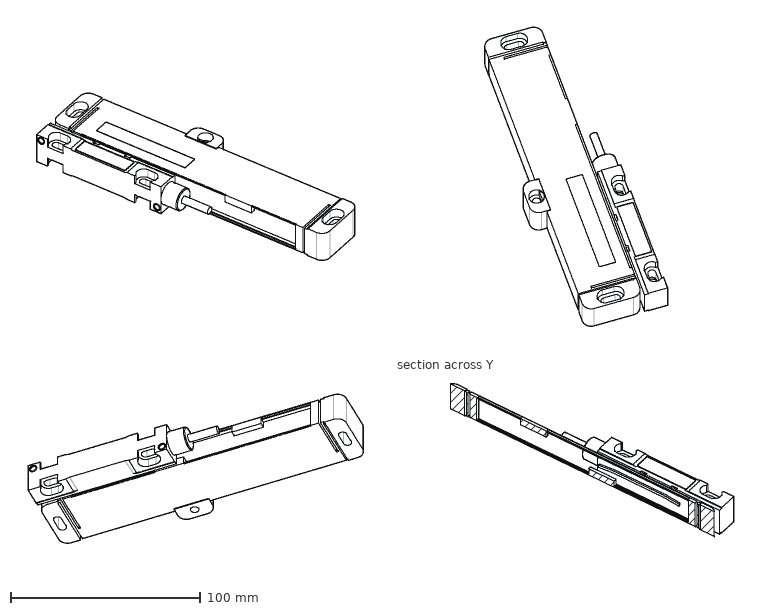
import cadquery as cq
import math

length = 175.0
height = 18.0
relief = 0.5
low_height = height - 2 * relief
low_top = low_height / 2
label_width = 9.1
label_corner = 0.5
screw_slot_diameter = 4.4
screw_head_diameter = 8.2
screw_head_depth = 5.2
head_depth = 13.0
gap = 1.0

housing_front = head_depth + gap
housing_depth = 32.0
housing_back = housing_front + housing_depth
housing_middle_y = housing_front + housing_depth / 2
end_block_length = 11.0
end_corner_radius = 5.0
flexure_slot_width = 1.0
front_web = 1.5
inner_slot_x = 13.3
inner_slot_end = housing_back - 7.9
end_screw_x = 5.5
end_slot_travel = 6.3
channel_end_margin = 18.5
channel_depth = 3.2
channel_lip = 1.0
rebate_lip = 0.5
rebate_depth = 1.0
channel_block_length = 16.8
channel_block_drop = 4.7
upper_block_x = 119.7
tab_x = 75.0
lower_block_x = tab_x
tab_length = 20.1
tab_reach = 8.0
tab_overlap = 2.1
tab_corner_radius = 5.0
tab_hole_setback = 5.6
housing_label_thickness = 0.2
housing_label_x = 23.8
housing_label_length = 56.9
housing_label_y = housing_back - 20.3

head_length = 79.8
head_middle_x = head_length / 2
rear_strip_depth = 2.1
valley_length = 32.0
ramp_length = 2.1
ramp_radius = (ramp_length**2 + relief**2) / (2 * relief)
head_screw_spacing = 56.0
head_screw_y = 4.2
head_slot_travel = 4.2
screw_opening_width = 10.0
head_label_thickness = 0.44
head_label_y = 5.6
notch_positions = (30.0, 50.0)
notch_radius = 2.1
notch_rise = 1.0
notch_depth = 1.0
cable_y = 6.5
cable_z = 0.7
gland_diameter = 13.0
gland_length = 10.2
gland_chamfer = 0.5
cable_diameter = 4.2
cable_length = 16.6
dimple_diameter = 4.2
dimple_cone_diameter = 3.2
dimple_step = 0.4
dimple_cone_depth = 1.5
dimple_inset = 2.8
dimple_z = 6.0
spring_start = 25.7
spring_end = 78.4
spring_wing = 10.2
spring_top = 1.2
spring_thickness = 1.5
spring_drop = 1.0


def box(x0, x1, y0, y1, z0, z1):
    """Box spanning the given limits."""
    return cq.Workplane("XY").box(x1 - x0, y1 - y0, z1 - z0, centered=False).translate((x0, y0, z0))


def mirrored_in_x(shape):
    """Copy of a housing feature on the opposite end."""
    return shape.mirror("YZ", (length / 2, 0, 0))


def obround(x, y, travel, diameter, angle, bottom, top):
    """Vertical slot-shaped cutter."""
    sketch = cq.Workplane("XY", origin=(x, y, bottom)).slot2D(travel + diameter, diameter, angle)
    return sketch.extrude(top - bottom)


def label(x0, x1, y_middle, thickness):
    """Thin plate with rounded corners on a lowered top face."""
    plate = box(x0, x1, y_middle - label_width / 2, y_middle + label_width / 2,
                low_top, low_top + thickness)
    return plate.edges("|Z").fillet(label_corner)


def end_block():
    """Full-height left end block with rounded outer corners."""
    block = box(0, end_block_length, housing_front, housing_back, -height / 2, height / 2)
    return block.edges("|Z and <X").fillet(end_corner_radius)


def end_cuts():
    """Flexure slots and counterbored slot at the left end."""
    half = flexure_slot_width / 2
    outer = box(end_block_length - half, end_block_length + half,
                housing_front + front_web, housing_back, -height / 2, height / 2)
    inner = box(inner_slot_x - half, inner_slot_x + half,
                housing_front, inner_slot_end, -height / 2, height / 2)
    slot = obround(end_screw_x, housing_middle_y, end_slot_travel, screw_slot_diameter, 90,
                   -height / 2, height / 2)
    recess = obround(end_screw_x, housing_middle_y, end_slot_travel, screw_head_diameter, 90,
                     height / 2 - screw_head_depth, height / 2)
    return outer.union(inner).union(slot).union(recess)


def mounting_tab():
    """Full-height lug behind the housing, seated slightly into it."""
    tab = box(tab_x - tab_length / 2, tab_x + tab_length / 2,
              housing_back - tab_overlap, housing_back + tab_reach, -height / 2, height / 2)
    tab = tab.edges("|Z and >Y").fillet(tab_corner_radius)
    top = tab.faces(">Z").workplane(origin=(tab_x, housing_back + tab_reach - tab_hole_setback, 0))
    return top.cboreHole(screw_slot_diameter, screw_head_diameter, screw_head_depth)


def channel():
    """Long front channel with a wider mouth, less the two blocks left standing at its edges."""
    edge = low_top - channel_lip
    mouth_edge = low_top - rebate_lip
    right_end = length - channel_end_margin
    back = housing_front + channel_depth
    mouth_back = housing_front + rebate_depth
    cut = box(channel_end_margin, right_end, housing_front, back, -edge, edge)
    cut = cut.union(box(channel_end_margin, right_end, housing_front, mouth_back, -mouth_edge, mouth_edge))
    half = channel_block_length / 2
    upper = box(upper_block_x - half, upper_block_x + half, housing_front, back,
                low_top - channel_block_drop, low_top)
    lower = box(lower_block_x - half, lower_block_x + half, housing_front, back,
                -low_top, channel_block_drop - low_top)
    return cut.cut(upper).cut(lower)


def make_housing():
    middle = box(end_block_length, length - end_block_length, housing_front, housing_back,
                 -low_top, low_top)
    body = middle.union(end_block()).union(mirrored_in_x(end_block()))
    body = body.cut(end_cuts()).cut(mirrored_in_x(end_cuts()))
    body = body.cut(channel()).union(mounting_tab())
    label_end = housing_label_x + housing_label_length
    return body.union(label(housing_label_x, label_end, housing_label_y, housing_label_thickness))


def head_valley():
    """Cutter for the low middle of the head top, with concave ramps at both ends."""
    inner = valley_length / 2
    outer = inner + ramp_length
    half_angle = math.asin(ramp_length / ramp_radius) / 2
    mid_run = ramp_radius * math.sin(half_angle)
    mid_z = low_top + ramp_radius * (1 - math.cos(half_angle))
    profile = (
        cq.Workplane("XZ", origin=(head_middle_x, 0, 0))
        .moveTo(-inner, low_top)
        .lineTo(inner, low_top)
        .threePointArc((inner + mid_run, mid_z), (outer, height / 2))
        .lineTo(-outer, height / 2)
        .threePointArc((-inner - mid_run, mid_z), (-inner, low_top))
        .close()
    )
    return profile.extrude(-head_depth)


def head_screw_cuts(x):
    """Through slot with an open-fronted screw recess in the top and bottom."""
    cut = obround(x, head_screw_y, head_slot_travel, screw_slot_diameter, 0, -height / 2, height / 2)
    half = screw_opening_width / 2
    for bottom in (-height / 2, height / 2 - screw_head_depth):
        top = bottom + screw_head_depth
        cut = cut.union(obround(x, head_screw_y, head_slot_travel, screw_head_diameter, 0, bottom, top))
        cut = cut.union(box(x - half, x + half, 0, head_screw_y / 2, bottom, top))
    return cut


def dimple(x, z):
    """Stepped conical dimple in the front face."""
    profile = (
        cq.Workplane("XY")
        .polyline([(0, 0), (dimple_diameter / 2, 0), (dimple_diameter / 2, dimple_step),
                   (dimple_cone_diameter / 2, dimple_step), (0, dimple_step + dimple_cone_depth)])
        .close()
    )
    return profile.revolve(360, (0, 0, 0), (0, 1, 0)).translate((x, 0, z))


def rear_notch(x):
    """Shallow round trough at the back edge of the rear strip."""
    center_z = low_top + notch_rise
    rod = cq.Workplane("XZ", origin=(x, head_depth, center_z)).circle(notch_radius)
    return rod.extrude(notch_depth)


def cable_exit():
    """Cable gland and the cable stub leaving it, along +X."""
    start = cq.Workplane("YZ", origin=(head_length, cable_y, cable_z))
    gland = start.circle(gland_diameter / 2).extrude(gland_length).faces(">X").chamfer(gland_chamfer)
    cable = start.circle(cable_diameter / 2).extrude(gland_length + cable_length)
    return gland.union(cable)


def bowed_spring():
    """Arched strip filling the gap behind the head."""
    wing_top = spring_top - spring_drop
    upper = [(spring_start, wing_top), (spring_start + spring_wing, spring_top),
             (spring_end - spring_wing, spring_top), (spring_end, wing_top)]
    lower = [(x, z - spring_thickness) for x, z in reversed(upper)]
    profile = cq.Workplane("XZ", origin=(0, head_depth, 0)).polyline(upper + lower).close()
    return profile.extrude(-gap)


def make_head():
    body = box(0, head_length, 0, head_depth, -height / 2, height / 2)
    strip = box(0, head_length, head_depth - rear_strip_depth, head_depth, low_top, height / 2)
    top_relief = strip.union(head_valley())
    body = body.cut(top_relief).cut(top_relief.mirror("XY"))
    for side in (-1, 1):
        body = body.cut(head_screw_cuts(head_middle_x + side * head_screw_spacing / 2))
    body = body.cut(dimple(dimple_inset, dimple_z))
    body = body.cut(dimple(head_length - dimple_inset, -dimple_z))
    for x in notch_positions:
        body = body.cut(rear_notch(x))
    label_half = valley_length / 2
    body = body.union(label(head_middle_x - label_half, head_middle_x + label_half,
                            head_label_y, head_label_thickness))
    return body.union(cable_exit()).union(bowed_spring())


housing = make_housing()
head = make_head()
result = cq.Compound.makeCompound([housing.val(), head.val()])